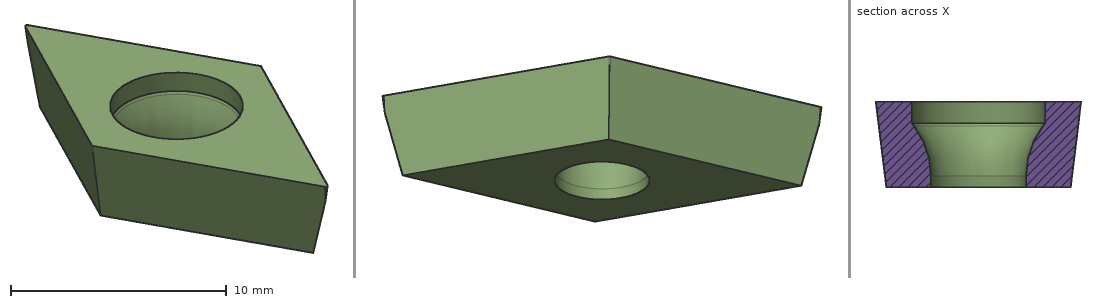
import cadquery as cq
import math

thickness = 3.97
body_width = 9.53
nose_angle = 55.0
relief_angle = 7.0
corner_radius = 0.103

mouth_diameter = 6.15
mouth_depth = 1.0
seat_diameter = 6.0
lip_height = 0.1
throat_diameter = 4.4
throat_height = 0.55
seat_radius = 3.8


def rhombus_corners(width):
    """Corners of a rhombus with two sides along X, counterclockwise from the acute -X corner."""
    half_width = width / 2
    slant_run = half_width / math.tan(math.radians(nose_angle))
    half_side = half_width / math.sin(math.radians(nose_angle))
    return [
        (-half_side - slant_run, -half_width),
        (half_side - slant_run, -half_width),
        (half_side + slant_run, half_width),
        (-half_side + slant_run, half_width),
    ]


def make_body():
    """Rounded rhombus at the top face, tapering inwards down to the bottom at Z = 0."""
    top_outline = (
        cq.Sketch()
        .polygon(rhombus_corners(body_width) + rhombus_corners(body_width)[:1])
        .vertices()
        .fillet(corner_radius)
    )
    return (
        cq.Workplane("XY", origin=(0, 0, thickness))
        .placeSketch(top_outline)
        .extrude(-thickness, taper=relief_angle)
    )


def make_hole():
    """Through hole: straight mouth, narrow lip, curved seat and straight throat."""
    mouth_radius = mouth_diameter / 2
    throat_radius = throat_diameter / 2
    mouth_floor = thickness - mouth_depth
    seat_rise = mouth_floor - lip_height - throat_height
    mid_rise = seat_rise / 2
    mid_radius = throat_radius + seat_radius - math.sqrt(seat_radius**2 - mid_rise**2)
    return (
        cq.Workplane("XZ")
        .lineTo(throat_radius, 0)
        .lineTo(throat_radius, throat_height)
        .threePointArc(
            (mid_radius, throat_height + mid_rise),
            (seat_diameter / 2, throat_height + seat_rise),
        )
        .lineTo(mouth_radius, mouth_floor)
        .lineTo(mouth_radius, thickness)
        .lineTo(0, thickness)
        .close()
        .revolve(360, (0, 0), (0, 1))
    )


result = make_body().cut(make_hole())